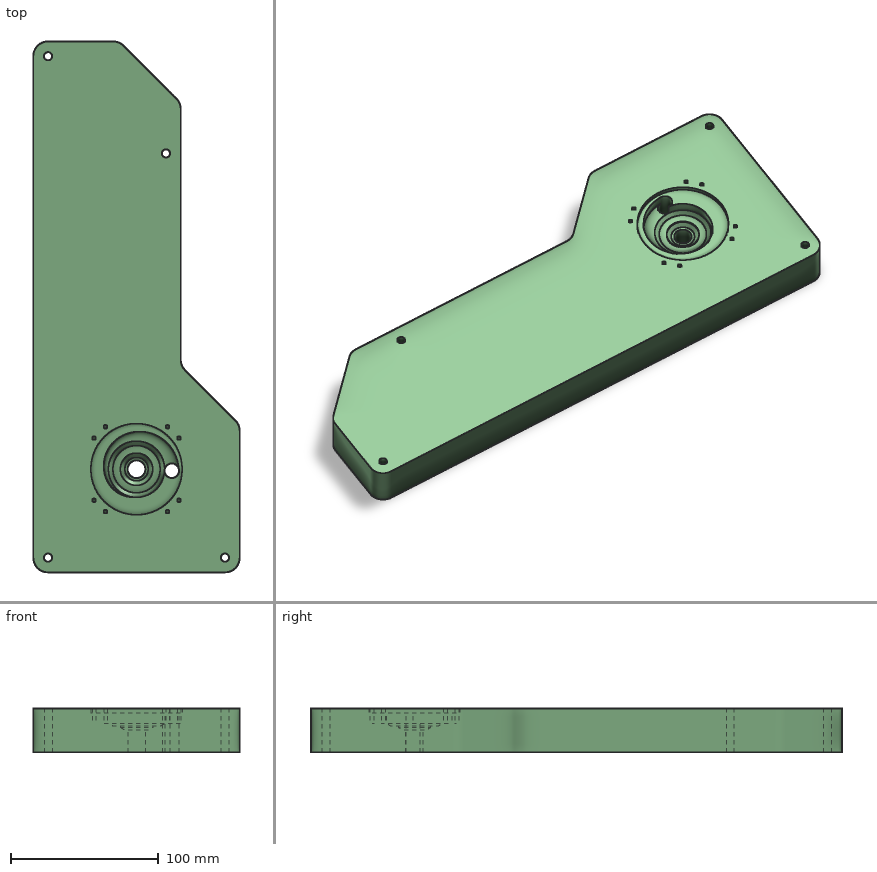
import cadquery as cq
import math

foot_width = 140.0
length = 360.0
thickness = 30.0
arm_width = 100.0
foot_side_length = 100.0
tip_bevel = 41.8
corner_radius = 10.0

mount_hole_diameter = 5.5
mount_hole_inset = 10.0
arm_hole_y = 284.0

seat_x = foot_width / 2
seat_y = foot_width / 2
recess_diameter = 62.0
recess_depth = 3.0
bore_diameter = 38.0
bore_depth = 10.0
countersink_diameter = 22.0
shaft_hole_diameter = 12.0
taper_width = 3.05
taper_height = 1.8
bore_floor_depth = bore_depth + taper_height
countersink_wall = 0.9
lower_taper_depth = bore_floor_depth + countersink_wall
countersink_depth = lower_taper_depth + taper_height

feed_hole_diameter = 9.7
feed_hole_angle = -2.5
feed_hole_distance = (bore_diameter + feed_hole_diameter) / 2
spiral_start_angle = 266.0
spiral_start_radius = bore_diameter / 2
spiral_end_radius = spiral_start_radius + feed_hole_diameter

screw_circle_radius = 35.5
screw_hole_diameter = 2.5
screw_hole_depth = 10.0
screw_pair_half_angle = 8.8


def make_plate():
    shoulder_run = foot_width - arm_width
    outline = [
        (0, 0),
        (foot_width, 0),
        (foot_width, foot_side_length),
        (arm_width, foot_side_length + shoulder_run),
        (arm_width, length - tip_bevel),
        (arm_width - tip_bevel, length),
        (0, length),
    ]
    plate = cq.Workplane("XY").polyline(outline).close().extrude(thickness)
    return plate.edges("|Z").fillet(corner_radius)


def drill(x, y, diameter, depth):
    """Cylinder reaching down from the top face."""
    top = cq.Workplane("XY", origin=(x, y, thickness))
    return top.circle(diameter / 2).extrude(-depth)


def make_seat():
    """Stepped and tapered opening, revolved about the seat axis."""
    profile = [
        (0, thickness),
        (recess_diameter / 2, thickness),
        (recess_diameter / 2, thickness - recess_depth),
        (bore_diameter / 2, thickness - recess_depth),
        (bore_diameter / 2, thickness - bore_depth),
        (bore_diameter / 2 - taper_width, thickness - bore_floor_depth),
        (countersink_diameter / 2, thickness - bore_floor_depth),
        (countersink_diameter / 2, thickness - lower_taper_depth),
        (countersink_diameter / 2 - taper_width, thickness - countersink_depth),
        (shaft_hole_diameter / 2, thickness - countersink_depth),
        (shaft_hole_diameter / 2, 0),
        (0, 0),
    ]
    seat = cq.Workplane("XZ").polyline(profile).close().revolve(360, (0, 0), (0, 1))
    return seat.translate((seat_x, seat_y, 0))


def on_seat(radius, degrees):
    """Point at a polar position about the seat axis."""
    angle = math.radians(degrees)
    return seat_x + radius * math.cos(angle), seat_y + radius * math.sin(angle)


def spiral_point(t):
    """Point on the spiral, from the feed hole (t = 0) to the bore wall (t = 1)."""
    radius = spiral_end_radius + t * (spiral_start_radius - spiral_end_radius)
    degrees = feed_hole_angle + t * (spiral_start_angle - feed_hole_angle)
    return on_seat(radius, degrees)


def make_channel():
    """Everything inside the spiral, down to the top of the bore taper."""
    top = cq.Workplane("XY", origin=(0, 0, thickness))
    return (
        top.parametricCurve(spiral_point, makeWire=False)
        .moveTo(*spiral_point(1))
        .lineTo(seat_x, seat_y)
        .lineTo(*spiral_point(0))
        .wire()
        .extrude(-bore_depth)
    )


result = make_plate().cut(make_seat()).cut(make_channel())

feed_hole_x, feed_hole_y = on_seat(feed_hole_distance, feed_hole_angle)
result = result.cut(drill(feed_hole_x, feed_hole_y, feed_hole_diameter, thickness))

mount_hole_places = [
    (mount_hole_inset, mount_hole_inset),
    (foot_width - mount_hole_inset, mount_hole_inset),
    (mount_hole_inset, length - mount_hole_inset),
    (arm_width - mount_hole_inset, arm_hole_y),
]
for x, y in mount_hole_places:
    result = result.cut(drill(x, y, mount_hole_diameter, thickness))

for diagonal in (45, 135, 225, 315):
    for side in (-1, 1):
        x, y = on_seat(screw_circle_radius, diagonal + side * screw_pair_half_angle)
        result = result.cut(drill(x, y, screw_hole_diameter, screw_hole_depth))